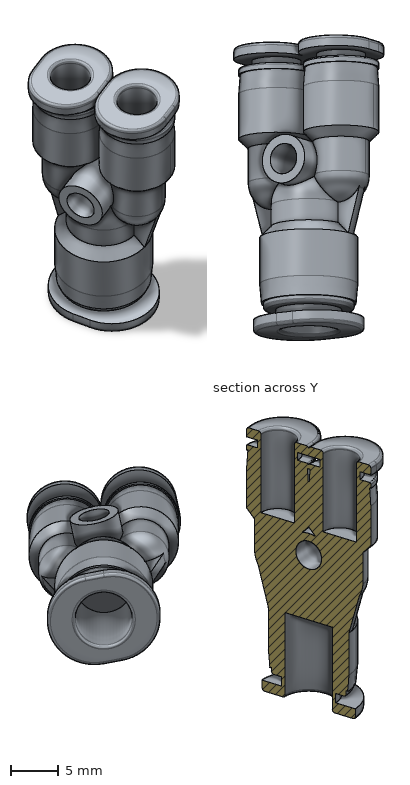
import cadquery as cq
import math

TOTAL_HEIGHT = 30.7
EDGE_ROUND = 0.35

BRANCH_X = 4.0
BRANCH_R = 4.005
BRANCH_STEM_DIAMETER = 6.0
BRANCH_STEM_R = BRANCH_STEM_DIAMETER / 2
BRANCH_COLLAR_TOP_Z = 28.65
BRANCH_COLLAR_ROUND = 0.18
BRANCH_COLLAR_BOTTOM_Z = 27.97
BRANCH_TAPER_END_Z = 25.9
BRANCH_TAPER_INSET = 0.15
BRANCH_BODY_BOTTOM_Z = 21.1
BRANCH_STEM_TOP_Z = BRANCH_BODY_BOTTOM_Z - (BRANCH_R - BRANCH_STEM_R)
BRANCH_STEM_END_Z = 16.4
BRANCH_SLEEVE_R = 2.6
BRANCH_BORE_R = 2.12
BRANCH_FLANGE_THICKNESS = 1.2
BRANCH_FLANGE_LENGTH = 10.0

TRUNK_R = 5.205
TRUNK_STEM_R = 4.0
TRUNK_NOSE_Z = 2.33
TRUNK_NOSE_STEP_Z = 3.05
TRUNK_NOSE_R = 4.82
TRUNK_TAPER_END_Z = 5.07
TRUNK_TAPER_INSET = 0.18
TRUNK_BODY_TOP_Z = 10.07
TRUNK_STEM_START_Z = TRUNK_BODY_TOP_Z + (TRUNK_R - TRUNK_STEM_R)
TRUNK_STEM_END_Z = 13.57
TRUNK_SLEEVE_R = 3.5
TRUNK_BORE_R = 3.0
TRUNK_FLANGE_THICKNESS = 1.3
TRUNK_FLANGE_LENGTH = 12.0
TRUNK_FLANGE_WIDTH = BRANCH_FLANGE_LENGTH

TUBE_Z = 17.78
TUBE_R = 2.6
TUBE_HOLE_R = 1.63
TUBE_LENGTH = 2 * TRUNK_R

WEB_THICKNESS = 1.1
WEB_TOP_X = 6.63
WEB_TOP_Z = 15.17


def revolve_about_z(half_profile):
    """Turn a closed profile, given as (radius, height), about the Z axis."""
    return half_profile.close().revolve(360, (0, 0, 0), (0, 1, 0))


def disc(radius, z_bottom, z_top):
    return cq.Workplane("XY").workplane(offset=z_bottom).circle(radius).extrude(z_top - z_bottom)


def release_flange(length, width, z_bottom, thickness, outer_face, turn):
    """Oblong release ring with rounded edges on its outer face."""
    flange = (
        cq.Workplane("XY")
        .workplane(offset=z_bottom)
        .slot2D(length, width, turn)
        .extrude(thickness)
    )
    return flange.faces(outer_face).edges().fillet(EDGE_ROUND)


def tube_socket(radius, z_mouth, z_floor):
    """Cutter for a blind tube socket whose mouth edge is rounded."""
    inward = math.copysign(EDGE_ROUND, z_floor - z_mouth)
    bend = 1 - math.sqrt(0.5)
    return revolve_about_z(
        cq.Workplane("XZ")
        .moveTo(0, z_mouth)
        .lineTo(radius + EDGE_ROUND, z_mouth)
        .threePointArc(
            (radius + EDGE_ROUND * bend, z_mouth + inward * bend),
            (radius, z_mouth + inward),
        )
        .lineTo(radius, z_floor)
        .lineTo(0, z_floor)
    )


def branch_port():
    """Small port on the Z axis, facing up, without its socket."""
    dome_x = BRANCH_STEM_R * math.sqrt(0.5)
    body = revolve_about_z(
        cq.Workplane("XZ")
        .moveTo(0, BRANCH_COLLAR_BOTTOM_Z)
        .lineTo(BRANCH_R - BRANCH_TAPER_INSET, BRANCH_COLLAR_BOTTOM_Z)
        .lineTo(BRANCH_R, BRANCH_TAPER_END_Z)
        .lineTo(BRANCH_R, BRANCH_BODY_BOTTOM_Z)
        .lineTo(BRANCH_STEM_R, BRANCH_STEM_TOP_Z)
        .lineTo(BRANCH_STEM_R, BRANCH_STEM_END_Z)
        .threePointArc((dome_x, BRANCH_STEM_END_Z - dome_x), (0, BRANCH_STEM_END_Z - BRANCH_STEM_R))
    )
    collar = disc(BRANCH_R, BRANCH_COLLAR_BOTTOM_Z, BRANCH_COLLAR_TOP_Z)
    collar = collar.faces(">Z").edges().fillet(BRANCH_COLLAR_ROUND)
    flange_z = TOTAL_HEIGHT - BRANCH_FLANGE_THICKNESS
    sleeve = disc(BRANCH_SLEEVE_R, BRANCH_COLLAR_TOP_Z, flange_z)
    flange = release_flange(
        BRANCH_FLANGE_LENGTH, 2 * BRANCH_R, flange_z, BRANCH_FLANGE_THICKNESS, ">Z", 90
    )
    return body.union(collar).union(sleeve).union(flange)


def trunk_port():
    """Large port on the Z axis, facing down, without its socket."""
    dome_x = TRUNK_STEM_R * math.sqrt(0.5)
    body = revolve_about_z(
        cq.Workplane("XZ")
        .moveTo(0, TRUNK_NOSE_STEP_Z)
        .lineTo(TRUNK_R - TRUNK_TAPER_INSET, TRUNK_NOSE_STEP_Z)
        .lineTo(TRUNK_R, TRUNK_TAPER_END_Z)
        .lineTo(TRUNK_R, TRUNK_BODY_TOP_Z)
        .lineTo(TRUNK_STEM_R, TRUNK_STEM_START_Z)
        .lineTo(TRUNK_STEM_R, TRUNK_STEM_END_Z)
        .threePointArc((dome_x, TRUNK_STEM_END_Z + dome_x), (0, TRUNK_STEM_END_Z + TRUNK_STEM_R))
    )
    nose = disc(TRUNK_NOSE_R, TRUNK_NOSE_Z, TRUNK_NOSE_STEP_Z)
    nose = nose.faces("<Z").edges().fillet(EDGE_ROUND)
    sleeve = disc(TRUNK_SLEEVE_R, TRUNK_FLANGE_THICKNESS, TRUNK_NOSE_Z)
    flange = release_flange(
        TRUNK_FLANGE_LENGTH, TRUNK_FLANGE_WIDTH, 0, TRUNK_FLANGE_THICKNESS, "<Z", 0
    )
    return body.union(nose).union(sleeve).union(flange)


def side_web():
    """Thin plate bridging the shoulder of the lower port and the branch domes."""
    return (
        cq.Workplane("XZ")
        .polyline(
            [
                (-TRUNK_R, TRUNK_BODY_TOP_Z),
                (TRUNK_R, TRUNK_BODY_TOP_Z),
                (WEB_TOP_X, WEB_TOP_Z),
                (-WEB_TOP_X, WEB_TOP_Z),
            ]
        )
        .close()
        .extrude(WEB_THICKNESS / 2, both=True)
    )


def cross_cylinder(radius):
    """Cylinder along Y at the height of the mounting tube."""
    return cq.Workplane("XZ").center(0, TUBE_Z).circle(radius).extrude(TUBE_LENGTH / 2, both=True)


def on_both_sides(part):
    """Place a part made on the Z axis at both branch positions, mirrored about the YZ plane."""
    right = part.translate((BRANCH_X, 0, 0))
    return right.union(right.mirror("YZ"))


outside = (
    trunk_port()
    .union(on_both_sides(branch_port()))
    .union(cross_cylinder(TUBE_R))
    .union(side_web())
)

trunk_socket = tube_socket(TRUNK_BORE_R, 0, TRUNK_BODY_TOP_Z)
branch_socket = tube_socket(BRANCH_BORE_R, TOTAL_HEIGHT, BRANCH_BODY_BOTTOM_Z)

result = (
    outside
    .cut(cross_cylinder(TUBE_HOLE_R))
    .cut(trunk_socket)
    .cut(on_both_sides(branch_socket))
)